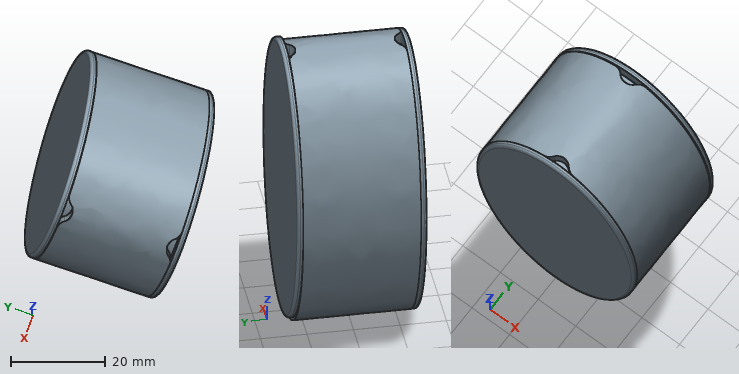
import cadquery as cq

drum_width = 41.98
drum_height = 65.85
total_length = 27.94
lid_thickness = 1.3
lid_edge_radius = 0.7
drum_length = total_length - 2 * lid_thickness
half_length = drum_length / 2

rear_lid_shift_x = 0.2
rear_lid_shift_z = 0.66

notch_half_width = 4.1
notch_reach = 1.95
notch_depth = 3.0


def ellipse_block(width, height, length):
    """Elliptical block along Y, centred on the origin."""
    return (
        cq.Workplane("XZ")
        .ellipse(width / 2, height / 2)
        .extrude(length)
        .translate((0, length / 2, 0))
    )


def make_lid(outward):
    """Elliptical plate centred on the origin, rounded on the edge of its outward Y face."""
    face = ">Y" if outward > 0 else "<Y"
    lid = ellipse_block(drum_width, drum_height, lid_thickness)
    return lid.faces(face).edges().fillet(lid_edge_radius)


def notch_cutter():
    """Bell-shaped notch through the top of the +Y end, with a floor parallel to the drum wall."""
    bend_radius = (notch_half_width**2 + notch_reach**2) / (4 * notch_reach)
    apex = (0, half_length - notch_reach)
    right_middle = (notch_half_width / 2, half_length - notch_reach / 2)
    left_middle = (-notch_half_width / 2, half_length - notch_reach / 2)
    bell = (
        cq.Workplane("XY")
        .moveTo(-notch_half_width, half_length)
        .radiusArc(left_middle, bend_radius)
        .tangentArcPoint(apex, relative=False)
        .tangentArcPoint(right_middle, relative=False)
        .tangentArcPoint((notch_half_width, half_length), relative=False)
        .close()
        .extrude(drum_height)
    )
    core = ellipse_block(
        drum_width - 2 * notch_depth, drum_height - 2 * notch_depth, total_length
    )
    return bell.cut(core)


def make_drum():
    """Elliptical drum with a notch at the top and bottom of both ends."""
    drum = ellipse_block(drum_width, drum_height, drum_length)
    top_notch = notch_cutter()
    for notch in (top_notch, top_notch.mirror("XY")):
        drum = drum.cut(notch).cut(notch.mirror("XZ"))
    return drum


lid_centre_y = half_length + lid_thickness / 2
drum = make_drum()
front_lid = make_lid(-1).translate((0, -lid_centre_y, 0))
rear_lid = make_lid(1).translate((rear_lid_shift_x, lid_centre_y, rear_lid_shift_z))

result = cq.Compound.makeCompound([drum.val(), front_lid.val(), rear_lid.val()])